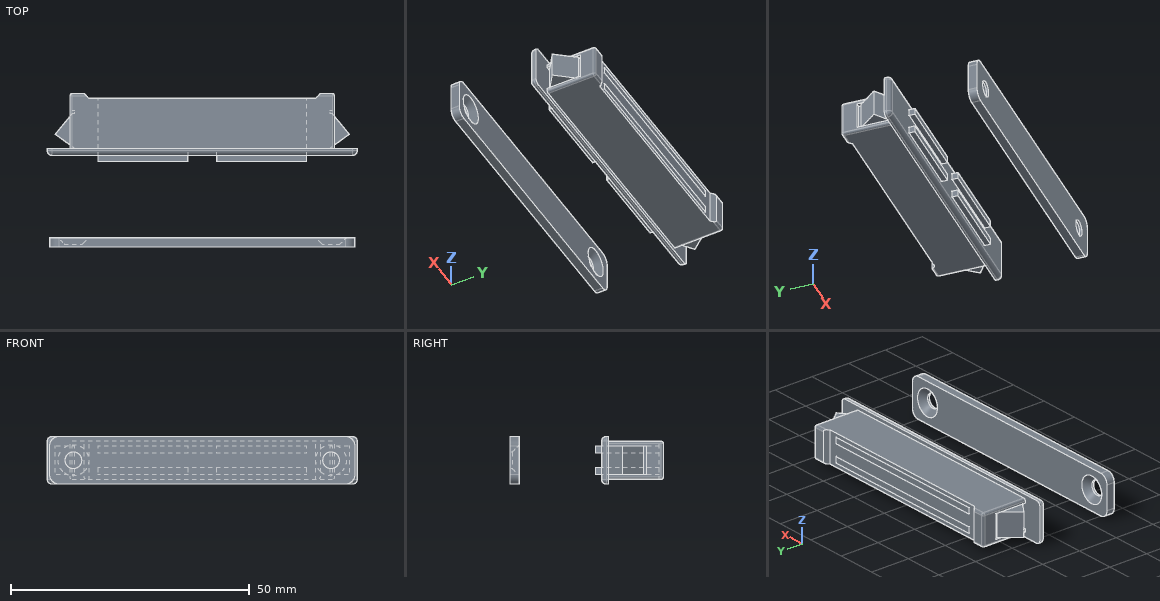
import cadquery as cq


panel_width = 65.0
panel_height = 10.0
panel_thickness = 1.5
panel_round = 1.0

box_width = 55.5
box_height = 8.0
box_depth = 10.5
box_round = 0.5
foot_depth = 1.0
foot_width = 3.0

lug_height = 6.0
lug_reach = 3.1
lug_tip_y = 2.95
lug_end_y = 7.3
lug_end_sink = 0.5
pocket_end_y = 7.95
pocket_depth = 1.0

pole_gap = 3.0
pole_thickness = 1.5
pole_width = 43.7
tongue_gap = 6.0
tongue_projection = 1.3

strike_width = 64.0
strike_height = panel_height
strike_thickness = 2.0
strike_corner_radius = 2.0
strike_hole_diameter = 3.5
strike_hole_spacing = 54.0
strike_sink_diameter = 6.5
strike_sink_angle = 90.0
overall_depth = 32.19

box_end_x = box_width / 2
box_rear_y = box_depth + foot_depth
pocket_floor_x = box_end_x - pocket_depth
tongue_front_y = -panel_thickness - tongue_projection
strike_front_y = box_rear_y - overall_depth


def block(x_size, y_start, y_end, z_size):
    """Block centred on X and Z between two Y positions."""
    return cq.Workplane("XY").box(x_size, y_end - y_start, z_size).translate((0, (y_start + y_end) / 2, 0))


def extrude_along_z(points, height):
    """Outline in X and Y, extruded evenly to both sides of Z = 0."""
    return cq.Workplane("XY").polyline(points).close().extrude(height / 2, both=True)


def make_panel():
    """Plate with equally rounded corners and front edges."""
    panel = block(panel_width, -panel_thickness, 0, panel_height)
    return panel.edges("not >Y").fillet(panel_round)


def make_box():
    """Box with a foot at each end of its rear face and rounded end edges."""
    foot_inner_x = box_end_x - foot_width
    slope_end_x = foot_inner_x - foot_depth
    outline = [
        (-box_end_x, 0),
        (-box_end_x, box_rear_y),
        (-foot_inner_x, box_rear_y),
        (-slope_end_x, box_depth),
        (slope_end_x, box_depth),
        (foot_inner_x, box_rear_y),
        (box_end_x, box_rear_y),
        (box_end_x, 0),
    ]
    box = extrude_along_z(outline, box_height)
    end_edges = box.faces("<X or >X").edges("not <Y")
    foot_edges = box.faces(">Y").edges("|X")
    return box.newObject(end_edges.vals() + foot_edges.vals()).fillet(box_round)


def make_pocket(side):
    """Cutter for the pocket around a lug; side is -1 or +1."""
    outline = [
        (side * pocket_floor_x, 0),
        (side * box_end_x, 0),
        (side * box_end_x, pocket_end_y),
        (side * pocket_floor_x, pocket_end_y),
    ]
    return extrude_along_z(outline, lug_height)


def make_lug(side):
    """Wedge that rises from the pocket floor; side is -1 or +1."""
    outline = [
        (side * pocket_floor_x, 0),
        (side * (box_end_x + lug_reach), lug_tip_y),
        (side * (box_end_x - lug_end_sink), lug_end_y),
        (side * pocket_floor_x, lug_end_y),
    ]
    return extrude_along_z(outline, lug_height)


def make_pole(side):
    """Pole plate with two tongues that pass through the panel; side is -1 (lower) or +1 (upper)."""
    plate = block(pole_width, tongue_front_y, box_depth, pole_thickness)
    notch = block(tongue_gap, tongue_front_y, 0, pole_thickness)
    return plate.cut(notch).translate((0, 0, side * (pole_gap + pole_thickness) / 2))


def make_housing(poles):
    """Panel, box and lugs in one piece, with slots that match the pole plates."""
    housing = make_panel().union(make_box())
    for side in (-1, 1):
        housing = housing.cut(make_pocket(side)).union(make_lug(side))
    for pole in poles:
        housing = housing.cut(pole)
    return housing


def make_strike():
    """Flat plate with two screw holes, countersunk from its rear face."""
    strike = block(strike_width, strike_front_y, strike_front_y + strike_thickness, strike_height)
    strike = strike.edges("|Y").fillet(strike_corner_radius)
    hole_places = [(-strike_hole_spacing / 2, 0), (strike_hole_spacing / 2, 0)]
    hole_centres = strike.faces(">Y").workplane(centerOption="CenterOfMass").pushPoints(hole_places)
    return hole_centres.cskHole(strike_hole_diameter, strike_sink_diameter, strike_sink_angle)


poles = [make_pole(side) for side in (-1, 1)]
housing = make_housing(poles)
strike = make_strike()

result = cq.Compound.makeCompound([housing.val(), strike.val(), *[pole.val() for pole in poles]])